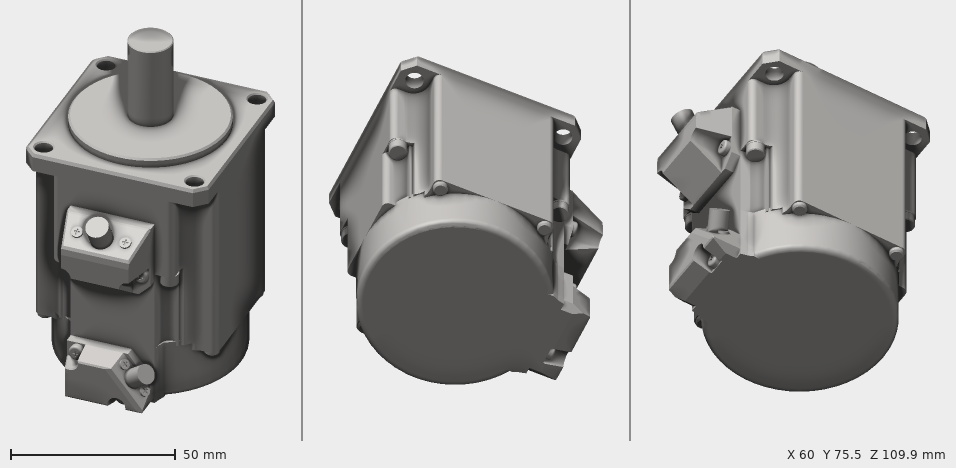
import cadquery as cq
import math

SHAFT_TOP = 109.9
SHAFT_LENGTH = 30.0
SHAFT_DIAMETER = 14.0
SHAFT_CHAMFER = 0.3
PILOT_DIAMETER = 50.0
PILOT_HEIGHT = 3.0
PILOT_CHAMFER = 0.6
SIDE = 60.0
HALF = SIDE / 2
FLANGE_TOP = SHAFT_TOP - SHAFT_LENGTH
FLANGE_THICKNESS = 6.0
FLANGE_BOTTOM = FLANGE_TOP - FLANGE_THICKNESS
FLANGE_CORNER = 3.7
FLANGE_RIM_DROP = 0.6
FLANGE_RIM_INSET = 1.0
BOLT_CIRCLE = 70.0
BOLT_OFFSET = BOLT_CIRCLE / 2 / math.sqrt(2)
BOLT_HOLE = 5.6
BOLT_HOLE_CHAMFER = 0.45
COUNTERSINK_ANGLE = 90

RELIEF_CENTER = 25.3
RELIEF_RADIUS = 5.4
RELIEF_WALL = RELIEF_CENTER - RELIEF_RADIUS
EDGE_ROUND = 2.0
ROUND_MID = EDGE_ROUND * (1 - math.sqrt(0.5))
LUG_BOTTOM = 15.6
LUG_HALF_WIDTH = 20.45
HOUSING_BOTTOM = 18.1
LUG_SCREW_X = 27.4
LUG_SCREW_Y = 17.35
LUG_SCREW_DIAMETER = 4.6
LUG_SCREW_HEIGHT = 1.6
LUG_SCREW_CHAMFER = 0.5

POCKET_TOP = 46.4
POCKET_OUTER_FLOOR = 22.8
POCKET_INNER_FLOOR = 23.85
POCKET_STEP_X = 19.05
POCKET_ROUND = 3.05
POCKET_SCREW_X = 17.4
POCKET_SCREW_Y = POCKET_INNER_FLOOR + POCKET_ROUND
POCKET_HEAD_DIAMETER = 5.7
POCKET_HEAD_HEIGHT = 3.85
POCKET_HEAD_CHAMFER = 0.3
POCKET_WASHER_DIAMETER = 5.9
POCKET_WASHER_HEIGHT = 0.7

CAP_TOP = 19.7
CAP_EDGE_ROUND = 2.0
BLOCK_HALF_WIDTH = 13.8
BLOCK_SHOULDER = 14.35
BLOCK_SHOULDER_Y = 27.7
BLOCK_FOOT = 15.1

SLAB_THICKNESS = 3.1
SLAB_FACE = -HALF - SLAB_THICKNESS
SLAB_HALF_WIDTH = 13.75
COVER_HEAD_DIAMETER = 4.9
COVER_HEAD_HEIGHT = 2.0
COVER_HEAD_ROUND = 0.7
COLLAR_GAP = 0.3
COLLAR_DEPTH = 0.5
COVER_CHAMFER = 0.4
BAND_DEPTH = 0.3

UPPER_BOTTOM = 40.2
UPPER_TOP = 64.6
UPPER_FRONT = -44.2
UPPER_FRONT_HALF_WIDTH = 11.1
UPPER_CORNER = 3.9
UPPER_CHAMFER = 0.6
UPPER_RIDGE = 0.7
UPPER_LEDGE = 0.3
UPPER_SLOPE_START = SLAB_FACE - UPPER_LEDGE
UPPER_SLOPE = math.radians(30)
UPPER_LIP = 48.1
UPPER_BAND_WIDTH = 2.5
UPPER_CABLE_DIAMETER = 7.25
UPPER_CABLE_LENGTH = 7.0
UPPER_CABLE_Y = -38.86
UPPER_CLAMP_X = 7.9
UPPER_CLAMP_DIAMETER = 3.6
UPPER_CLAMP_HEIGHT = 0.7
UPPER_SCREW_X = 11.0
UPPER_SCREW_Z = 47.9
UPPER_POCKET_ROUND = 3.1

LOWER_TOP = 17.7
LOWER_FRONT = -39.9
LOWER_FRONT_TOP = 15.5
LOWER_FRONT_BOTTOM = 2.0
LOWER_BEVEL_START = -33.9
LOWER_FRONT_LEFT = -11.65
LOWER_CORNER = 2.2
LOWER_BAND_WIDTH = 1.8
LOWER_OUTLET_ANGLE = math.radians(39.5)
LOWER_OUTLET_TILT = math.radians(20)
LOWER_SLAB_CUT_X = 6.3
LOWER_CABLE_LENGTH = 6.8
LOWER_CABLE_BASE = (9.2, -35.35, 11.05)
LOWER_CABLE_DIAMETER = 6.3
LOWER_CLAMP_SPACING = 5.2
LOWER_CLAMP_DIAMETER = 3.3
LOWER_CLAMP_HEIGHT = 0.8
LOWER_SIDE_SCREW = (-10.1, 14.9)
LOWER_SIDE_POCKET_ROUND = 2.5
LOWER_BOTTOM_SCREW = (5.3, 2.6)
LOWER_BOTTOM_POCKET_ROUND = 2.95

RECESS_LENGTH = 2.0
RECESS_WIDTH = 0.5
RECESS_DEPTH = 0.4

CLEAR = 5.0
SIGNS = (-1, 1)


def prism(points, bottom, top):
    """Closed XY outline between two heights."""
    return cq.Workplane("XY").workplane(offset=bottom).polyline(points).close().extrude(top - bottom)


def block(x_range, y_range, z_range):
    """Box given by its limits along each axis."""
    sizes = [high - low for low, high in (x_range, y_range, z_range)]
    corner = (x_range[0], y_range[0], z_range[0])
    return cq.Workplane("XY").box(*sizes, centered=False).translate(corner)


def disc(center, diameter, bottom, height):
    """Upright cylinder."""
    return cq.Workplane("XY", origin=(*center, bottom)).circle(diameter / 2).extrude(height)


def on_both_sides(shape):
    """Adds the mirror image across the YZ plane."""
    return shape.union(shape.mirror("YZ"))


def in_four_corners(corner):
    """Copies a shape of the -X -Y corner into all four corners."""
    pair = on_both_sides(corner)
    return pair.union(pair.mirror("XZ"))


def make_flange():
    """Square flange with cut corners, a bevelled rim, the pilot and the shaft."""
    plate = block((-HALF, HALF), (-HALF, HALF), (FLANGE_BOTTOM, FLANGE_TOP))
    plate = plate.edges("|Z").chamfer(FLANGE_CORNER)
    plate = plate.faces(">Z").chamfer(FLANGE_RIM_DROP, FLANGE_RIM_INSET)
    offsets = [(sx * BOLT_OFFSET, sy * BOLT_OFFSET) for sx in SIGNS for sy in SIGNS]
    plate = plate.faces(">Z").workplane(origin=(0, 0, FLANGE_TOP)).pushPoints(offsets).cskHole(
        BOLT_HOLE, BOLT_HOLE + 2 * BOLT_HOLE_CHAMFER, COUNTERSINK_ANGLE
    )
    pilot = disc((0, 0), PILOT_DIAMETER, FLANGE_TOP, PILOT_HEIGHT).faces(">Z").chamfer(PILOT_CHAMFER)
    shaft = disc((0, 0), SHAFT_DIAMETER, FLANGE_TOP, SHAFT_LENGTH).faces(">Z").chamfer(SHAFT_CHAMFER)
    return plate.union(pilot).union(shaft)


def corner_relief():
    """Cutter that hollows the -X -Y corner around the flange bolt."""
    outside = HALF + CLEAR
    round_start = RELIEF_WALL - EDGE_ROUND
    round_end = HALF - EDGE_ROUND
    arc_mid = RELIEF_CENTER - RELIEF_RADIUS * math.sqrt(0.5)
    return (
        cq.Workplane("XY")
        .moveTo(-round_start, -outside)
        .lineTo(-round_start, -HALF)
        .threePointArc((-RELIEF_WALL + ROUND_MID, -HALF + ROUND_MID), (-RELIEF_WALL, -round_end))
        .lineTo(-RELIEF_WALL, -RELIEF_CENTER)
        .threePointArc((-arc_mid, -arc_mid), (-RELIEF_CENTER, -RELIEF_WALL))
        .lineTo(-round_end, -RELIEF_WALL)
        .threePointArc((-HALF + ROUND_MID, -RELIEF_WALL + ROUND_MID), (-HALF, -round_start))
        .lineTo(-outside, -round_start)
        .lineTo(-outside, -outside)
        .close()
        .extrude(FLANGE_BOTTOM)
    )


def screw_pocket(rounded):
    """Cutter for the long-screw pocket beside the -X -Y corner, its mouth rounded or flaring to an edge."""
    outside = HALF + CLEAR
    wall = POCKET_SCREW_X - POCKET_ROUND
    arc_mid = POCKET_ROUND * math.sqrt(0.5)
    outline = cq.Workplane("XY", origin=(0, 0, HOUSING_BOTTOM))
    if rounded:
        mouth = wall - EDGE_ROUND
        outline = (
            outline.moveTo(-mouth, -outside)
            .lineTo(-mouth, -HALF)
            .threePointArc((-wall + ROUND_MID, -HALF + ROUND_MID), (-wall, -HALF + EDGE_ROUND))
        )
    else:
        outline = outline.moveTo(-BLOCK_HALF_WIDTH, -outside).lineTo(-BLOCK_HALF_WIDTH, -HALF)
    return (
        outline.lineTo(-wall, -POCKET_SCREW_Y)
        .threePointArc(
            (-POCKET_SCREW_X + arc_mid, -POCKET_SCREW_Y + arc_mid),
            (-POCKET_SCREW_X, -POCKET_INNER_FLOOR),
        )
        .lineTo(-POCKET_STEP_X, -POCKET_INNER_FLOOR)
        .lineTo(-POCKET_STEP_X, -POCKET_OUTER_FLOOR)
        .lineTo(-RELIEF_CENTER, -POCKET_OUTER_FLOOR)
        .lineTo(-RELIEF_CENTER, -outside)
        .close()
        .extrude(POCKET_TOP - HOUSING_BOTTOM)
    )


def make_housing():
    """Square housing with relieved corners, screw pockets, side lugs and all of their screws."""
    housing = block((-HALF, HALF), (-HALF, HALF), (LUG_BOTTOM, FLANGE_BOTTOM))
    for sign in SIGNS:
        y_range = sorted((sign * LUG_HALF_WIDTH, sign * (HALF + CLEAR)))
        housing = housing.cut(block((-SIDE, SIDE), y_range, (0, HOUSING_BOTTOM)))
    housing = housing.cut(in_four_corners(corner_relief()))
    housing = housing.cut(on_both_sides(screw_pocket(rounded=False)))
    housing = housing.cut(on_both_sides(screw_pocket(rounded=True)).mirror("XZ"))

    pocket_center = (-POCKET_SCREW_X, -POCKET_SCREW_Y)
    head = disc(pocket_center, POCKET_HEAD_DIAMETER, POCKET_TOP - POCKET_HEAD_HEIGHT, POCKET_HEAD_HEIGHT)
    head = head.faces("<Z").chamfer(POCKET_HEAD_CHAMFER)
    washer_bottom = POCKET_TOP - POCKET_WASHER_HEIGHT
    washer = disc(pocket_center, POCKET_WASHER_DIAMETER, washer_bottom, POCKET_WASHER_HEIGHT)
    lug_center = (-LUG_SCREW_X, -LUG_SCREW_Y)
    lug_head = disc(lug_center, LUG_SCREW_DIAMETER, LUG_BOTTOM - LUG_SCREW_HEIGHT, LUG_SCREW_HEIGHT)
    lug_head = lug_head.faces("<Z").chamfer(LUG_SCREW_CHAMFER)
    return housing.union(in_four_corners(head.union(washer).union(lug_head)))


def make_rear_cap():
    """Round cap with a rounded rear edge and a flat block toward -Y."""
    cap = disc((0, 0), SIDE, 0, CAP_TOP).faces("<Z").edges().fillet(CAP_EDGE_ROUND)
    foot_y = math.sqrt(HALF**2 - BLOCK_FOOT**2)
    left = [
        (-BLOCK_FOOT, 0),
        (-BLOCK_FOOT, -foot_y),
        (-BLOCK_SHOULDER, -BLOCK_SHOULDER_Y),
        (-BLOCK_HALF_WIDTH, -HALF),
    ]
    right = [(-x, y) for x, y in reversed(left)]
    return cap.union(prism(left + right, 0, CAP_TOP))


def cross_recess(plane, height):
    """Cutter for a cross recess in a screw head whose top lies at the given height on a plane."""
    arms = cq.Workplane(plane).workplane(offset=height - RECESS_DEPTH)
    first = arms.rect(RECESS_LENGTH, RECESS_WIDTH).extrude(CLEAR)
    second = arms.rect(RECESS_WIDTH, RECESS_LENGTH).extrude(CLEAR)
    return first.union(second)


def add_cover_screw(body, x, z):
    """Adds a round-edged screw head on the slab face."""
    plane = cq.Plane(origin=(x, SLAB_FACE, z), xDir=(1, 0, 0), normal=(0, -1, 0))
    head = cq.Workplane(plane).circle(COVER_HEAD_DIAMETER / 2).extrude(COVER_HEAD_HEIGHT)
    head = head.faces("<Y").edges().fillet(COVER_HEAD_ROUND)
    return body.union(head.cut(cross_recess(plane, COVER_HEAD_HEIGHT)))


def add_outlet(body, plane, cable_diameter, cable_length, clamp_spacing, clamp_diameter, clamp_height):
    """Adds a cable in a shallow collar and a clamp screw on each side along the plane's x axis."""
    collar = cq.Workplane(plane).circle(cable_diameter / 2 + COLLAR_GAP).extrude(-COLLAR_DEPTH)
    cable = cq.Workplane(plane).workplane(offset=-2 * COLLAR_DEPTH)
    cable = cable.circle(cable_diameter / 2).extrude(cable_length + 2 * COLLAR_DEPTH)
    body = body.cut(collar).union(cable)
    for sign in SIGNS:
        origin = plane.toWorldCoords((sign * clamp_spacing, 0, 0))
        seat = cq.Plane(origin=origin, xDir=plane.xDir, normal=plane.zDir)
        head = cq.Workplane(seat).workplane(offset=-COLLAR_DEPTH)
        head = head.circle(clamp_diameter / 2).extrude(COLLAR_DEPTH + clamp_height)
        body = body.union(head.cut(cross_recess(seat, clamp_height)))
    return body


def front_plate(outline, thickness):
    """Plate with the given XZ outline standing on the -Y face of the motor."""
    return cq.Workplane("XZ", origin=(0, -HALF, 0)).polyline(outline).close().extrude(thickness)


def cover_blank(profile, front, front_left, front_right):
    """Cover with the given YZ profile, as wide as the slab there and reaching the given X at the front."""
    width_outline = [
        (-SLAB_HALF_WIDTH, SLAB_FACE),
        (front_left, front),
        (front_right, front),
        (SLAB_HALF_WIDTH, SLAB_FACE),
    ]
    side = cq.Workplane("YZ").polyline(profile).close().extrude(SIDE / 2, both=True)
    return side.intersect(prism(width_outline, 0, FLANGE_TOP))


def corner_pocket(center, radius, x_sign, z_sign):
    """Cutter in front of the slab, open toward x_sign and z_sign, with one round inner corner."""
    x, z = center
    y_range = (SLAB_FACE - SIDE, SLAB_FACE)
    x_near = sorted((x - x_sign * radius, x + x_sign * SIDE))
    x_far = sorted((x, x + x_sign * SIDE))
    z_near = sorted((z - z_sign * radius, z + z_sign * SIDE))
    z_far = sorted((z, z + z_sign * SIDE))
    bore = cq.Workplane("XZ", origin=(x, SLAB_FACE, z)).circle(radius).extrude(SIDE)
    return bore.union(block(x_near, y_range, z_far)).union(block(x_far, y_range, z_near))


def make_upper_connector():
    """Connector with a cable leaving through a face sloping toward the shaft."""
    slab_outline = [
        (-SLAB_HALF_WIDTH, UPPER_TOP),
        (SLAB_HALF_WIDTH, UPPER_TOP),
        (SLAB_HALF_WIDTH, UPPER_BOTTOM + UPPER_CORNER),
        (SLAB_HALF_WIDTH - UPPER_CORNER, UPPER_BOTTOM),
        (-SLAB_HALF_WIDTH + UPPER_CORNER, UPPER_BOTTOM),
        (-SLAB_HALF_WIDTH, UPPER_BOTTOM + UPPER_CORNER),
    ]
    slab = front_plate(slab_outline, SLAB_THICKNESS)

    ridge_y = SLAB_FACE - UPPER_RIDGE
    ridge_z = UPPER_TOP - (UPPER_SLOPE_START - ridge_y) * math.tan(UPPER_SLOPE)
    front_top = UPPER_TOP - (UPPER_SLOPE_START - UPPER_FRONT) * math.tan(UPPER_SLOPE)
    profile = [
        (SLAB_FACE, UPPER_BOTTOM),
        (SLAB_FACE, UPPER_TOP),
        (ridge_y, ridge_z),
        (UPPER_FRONT + BAND_DEPTH, front_top + BAND_DEPTH * math.tan(UPPER_SLOPE)),
        (UPPER_FRONT, front_top - UPPER_BAND_WIDTH),
        (UPPER_FRONT, UPPER_LIP),
    ]
    normal = cq.Vector(0, -math.sin(UPPER_SLOPE), math.cos(UPPER_SLOPE))
    cover = cover_blank(profile, UPPER_FRONT, -UPPER_FRONT_HALF_WIDTH, UPPER_FRONT_HALF_WIDTH)
    cover = cover.faces(cq.DirectionMinMaxSelector(normal)).edges("not(>Z)").chamfer(UPPER_CHAMFER)
    body = slab.union(cover)
    for sign in SIGNS:
        center = (sign * UPPER_SCREW_X, UPPER_SCREW_Z)
        body = body.cut(corner_pocket(center, UPPER_POCKET_ROUND, sign, -1))
    for sign in SIGNS:
        body = add_cover_screw(body, sign * UPPER_SCREW_X, UPPER_SCREW_Z)

    cable_z = UPPER_TOP - (UPPER_SLOPE_START - UPPER_CABLE_Y) * math.tan(UPPER_SLOPE)
    plane = cq.Plane(origin=(0, UPPER_CABLE_Y, cable_z), xDir=(1, 0, 0), normal=normal)
    return add_outlet(
        body,
        plane,
        UPPER_CABLE_DIAMETER,
        UPPER_CABLE_LENGTH,
        UPPER_CLAMP_X,
        UPPER_CLAMP_DIAMETER,
        UPPER_CLAMP_HEIGHT,
    )


def make_lower_connector():
    """Connector with a cable leaving through a slanting face at its +X +Z corner."""
    across = SLAB_HALF_WIDTH - LOWER_SLAB_CUT_X
    slab_outline = [
        (-SLAB_HALF_WIDTH + LOWER_CORNER, 0),
        (-SLAB_HALF_WIDTH, LOWER_CORNER),
        (-SLAB_HALF_WIDTH, LOWER_TOP),
        (LOWER_SLAB_CUT_X, LOWER_TOP),
        (SLAB_HALF_WIDTH, LOWER_TOP - across / math.tan(LOWER_OUTLET_ANGLE)),
        (SLAB_HALF_WIDTH, LOWER_CORNER),
        (SLAB_HALF_WIDTH - LOWER_CORNER, 0),
    ]
    slab = front_plate(slab_outline, SLAB_THICKNESS)

    profile = [
        (SLAB_FACE, 0),
        (SLAB_FACE, LOWER_TOP),
        (LOWER_FRONT, LOWER_FRONT_TOP),
        (LOWER_FRONT, LOWER_FRONT_BOTTOM),
        (LOWER_BEVEL_START, 0),
    ]
    cover = cover_blank(profile, LOWER_FRONT, LOWER_FRONT_LEFT, SLAB_HALF_WIDTH)
    cover = cover.intersect(front_plate(slab_outline, SIDE))

    normal = cq.Vector(
        math.cos(LOWER_OUTLET_TILT) * math.cos(LOWER_OUTLET_ANGLE),
        -math.sin(LOWER_OUTLET_TILT),
        math.cos(LOWER_OUTLET_TILT) * math.sin(LOWER_OUTLET_ANGLE),
    )
    along = (math.sin(LOWER_OUTLET_ANGLE), 0, -math.cos(LOWER_OUTLET_ANGLE))
    plane = cq.Plane(origin=LOWER_CABLE_BASE, xDir=along, normal=normal)
    cover = cover.cut(corner_pocket(LOWER_SIDE_SCREW, LOWER_SIDE_POCKET_ROUND, -1, 1))
    cover = cover.faces("<Y").edges("not(>X)").chamfer(COVER_CHAMFER)
    cover = cover.faces("<X").edges(">Z").chamfer(COVER_CHAMFER)
    cover = cover.cut(cq.Workplane(plane).rect(SIDE, SIDE).extrude(SIDE))

    edge_depth = (LOWER_FRONT + BAND_DEPTH - LOWER_CABLE_BASE[1]) / math.cos(LOWER_OUTLET_TILT)
    edge_plane = cq.Plane(origin=plane.toWorldCoords((0, edge_depth, 0)), xDir=along, normal=normal)
    band_turn = math.pi / 2 - LOWER_OUTLET_TILT - math.atan2(BAND_DEPTH, LOWER_BAND_WIDTH)
    band_plane = edge_plane.rotated((math.degrees(band_turn), 0, 0))
    cover = cover.cut(cq.Workplane(band_plane).rect(SIDE, SIDE).extrude(SIDE))

    x, z = LOWER_BOTTOM_SCREW
    radius = LOWER_BOTTOM_POCKET_ROUND
    bore = cq.Workplane("XZ", origin=(x, SLAB_FACE, z)).circle(radius).extrude(SIDE)
    cover = cover.cut(bore).cut(block((x - radius, x + radius), (-SIDE, SLAB_FACE), (-CLEAR, z)))

    body = slab.union(cover)
    body = add_cover_screw(body, *LOWER_SIDE_SCREW)
    body = add_cover_screw(body, *LOWER_BOTTOM_SCREW)
    return add_outlet(
        body,
        plane,
        LOWER_CABLE_DIAMETER,
        LOWER_CABLE_LENGTH,
        LOWER_CLAMP_SPACING,
        LOWER_CLAMP_DIAMETER,
        LOWER_CLAMP_HEIGHT,
    )


motor = make_flange().union(make_housing()).union(make_rear_cap())
result = motor.union(make_upper_connector()).union(make_lower_connector())